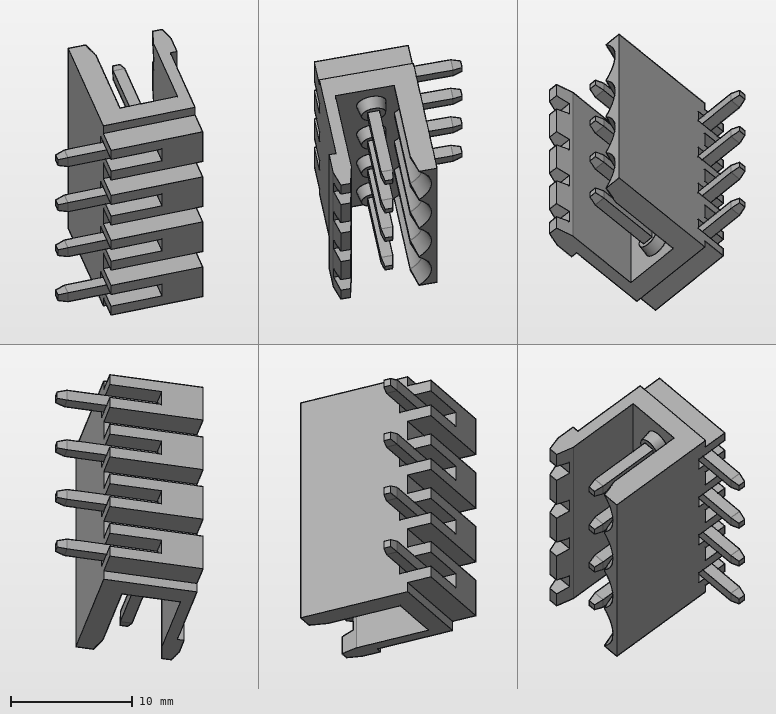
import cadquery as cq


pole_count = 4
pitch = 5.0
height = pole_count * pitch
pole_heights = [pitch * (i + 0.5) for i in range(pole_count)]

length = 12.2
depth = 7.92
body_length = 10.02
cavity_floor = 8.3
cavity_low = 1.95
cavity_high = 6.92

tab_height = 3.3
slot_height = 1.3
slot_start = 9.25

mouth_lead_length = 1.55
mouth_lead = 0.45
scallop_radius = 2.98

latch_rise = 0.58
latch_length = 2.98
latch_lead_length = 1.28
latch_outer_lead = 0.38
latch_inner_lead = 0.38
notch_depth = 1.2
notch_floor_height = 1.4
notch_mouth_height = 1.85

pin_width = 1.0
pin_tip_width = 0.65
pin_tip_length = 0.8
pin_axis_y = 3.9
pin_front = 0.82
tail_axis_x = 10.3
tail_end = -4.1
collar_length = 1.02
collar_base_radius = 1.25
collar_end_radius = 1.02

pin_low = pin_axis_y - pin_width / 2
pin_high = pin_axis_y + pin_width / 2
tail_front = tail_axis_x - pin_width / 2


def box(x0, x1, y0, y1, z0, z1):
    """Block between two opposite corners."""
    return cq.Workplane("XY").box(x1 - x0, y1 - y0, z1 - z0, centered=False).translate((x0, y0, z0))


def round_on_x(profile, z):
    """Turn an (x, radius) profile about the pin axis at height z."""
    closed = [(profile[0][0], 0)] + profile + [(profile[-1][0], 0)]
    turned = cq.Workplane("XY").polyline(closed).close().revolve(360, (0, 0, 0), (1, 0, 0))
    return turned.translate((0, pin_axis_y, z))


def make_housing():
    """U-shaped channel with the latch lip and the lead-in chamfers at its mouth."""
    latch_top = depth + latch_rise
    outline = [
        (0, 0),
        (body_length, 0),
        (body_length, depth),
        (latch_length, depth),
        (latch_length, latch_top),
        (latch_lead_length, latch_top),
        (0, latch_top - latch_outer_lead),
        (0, cavity_high + latch_inner_lead),
        (mouth_lead_length, cavity_high),
        (cavity_floor, cavity_high),
        (cavity_floor, cavity_low),
        (mouth_lead_length, cavity_low),
        (0, cavity_low - mouth_lead),
    ]
    return cq.Workplane("XY").polyline(outline).close().extrude(height)


def make_scallop(z):
    """Round cut in the lower wall, widening at the mouth like the wall's own lead-in."""
    profile = [
        (0, scallop_radius + mouth_lead),
        (mouth_lead_length, scallop_radius),
        (cavity_floor, scallop_radius),
    ]
    lower_half = box(0, cavity_floor, 0, pin_axis_y, 0, height)
    return round_on_x(profile, z).intersect(lower_half)


def make_latch_notch(z):
    """Flared notch through the tip of the latch lip."""
    outline = [
        (0, z - notch_mouth_height / 2),
        (notch_depth, z - notch_floor_height / 2),
        (notch_depth, z + notch_floor_height / 2),
        (0, z + notch_mouth_height / 2),
    ]
    upper_side = cq.Workplane("XZ", origin=(0, pin_axis_y, 0))
    return upper_side.polyline(outline).close().extrude(-depth)


def make_tab(z):
    """Block reaching back from the housing behind one pin."""
    return box(cavity_floor, length, 0, depth, z - tab_height / 2, z + tab_height / 2)


def make_slot(z):
    """Stepped slot for the pin, open at the board side and the rear."""
    low = z - slot_height / 2
    high = z + slot_height / 2
    front_step = box(slot_start, length, 0, pin_low, low, high)
    deep_part = box(tail_front, length, 0, pin_high, low, high)
    return front_step.union(deep_part)


def make_tip(direction, origin):
    """Tapered square tip growing from the origin in the given direction."""
    base = cq.Workplane(cq.Plane(origin, (0, 0, 1), direction)).rect(pin_width, pin_width)
    return base.workplane(offset=pin_tip_length).rect(pin_tip_width, pin_tip_width).loft()


def make_pin(z):
    """L-shaped pin with a contact leg along X and a solder tail along -Y."""
    low = z - pin_width / 2
    high = z + pin_width / 2
    contact_start = pin_front + pin_tip_length
    tail_start = tail_end + pin_tip_length
    tail_back = tail_front + pin_width
    contact = box(contact_start, tail_back, pin_low, pin_high, low, high)
    tail = box(tail_front, tail_back, tail_start, pin_high, low, high)
    contact_tip = make_tip((-1, 0, 0), (contact_start, pin_axis_y, z))
    tail_tip = make_tip((0, -1, 0), (tail_axis_x, tail_start, z))
    return contact.union(tail).union(contact_tip).union(tail_tip)


def make_collar(z):
    """Tapered collar around the pin on the cavity floor."""
    profile = [(cavity_floor - collar_length, collar_end_radius), (cavity_floor, collar_base_radius)]
    return round_on_x(profile, z)


result = make_housing()
for pole_z in pole_heights:
    result = result.cut(make_scallop(pole_z)).cut(make_latch_notch(pole_z))
    result = result.union(make_tab(pole_z)).cut(make_slot(pole_z))
    result = result.union(make_collar(pole_z)).union(make_pin(pole_z))